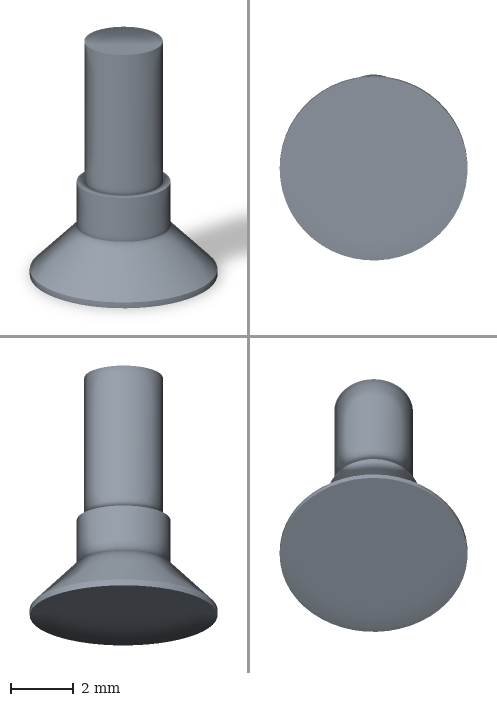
import cadquery as cq

total_height = 8.0
head_radius = 3.0
collar_radius = head_radius / 2
shaft_radius = 1.26
rim_height = 0.2
collar_top = 3.2

cone_top = rim_height + head_radius - collar_radius

half_section = (
    cq.Workplane("XZ")
    .lineTo(head_radius, 0)
    .lineTo(head_radius, rim_height)
    .lineTo(collar_radius, cone_top)
    .lineTo(collar_radius, collar_top)
    .lineTo(shaft_radius, collar_top)
    .lineTo(shaft_radius, total_height)
    .lineTo(0, total_height)
    .close()
)

result = half_section.revolve(360, (0, 0, 0), (0, 1, 0))